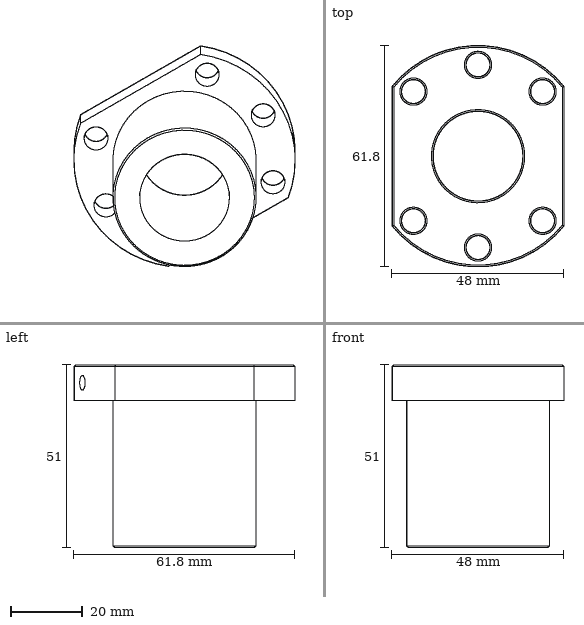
import cadquery as cq
import math

flange_diameter = 61.8
flange_width = 48.0
flange_thickness = 10.0

body_diameter = 40.0
overall_height = 51.0
bore_diameter = 25.0

bolt_circle_diameter = 51.0
bolt_hole_diameter = 6.6
bolt_hole_spacing = 45
rounded_side_directions = (90, 270)

oil_hole_diameter = 4.0
oil_hole_depth = 12.35
oil_hole_direction = 90 + bolt_hole_spacing / 2

chamfer_size = 0.5


def make_flange():
    """Round flange cut to width by the flats, chamfered around its top face."""
    disc = cq.Workplane("XY").circle(flange_diameter / 2).extrude(-flange_thickness)
    width_limit = cq.Workplane("XY").rect(flange_width, flange_diameter).extrude(-flange_thickness)
    return disc.intersect(width_limit).faces(">Z").edges().chamfer(chamfer_size)


def make_body():
    """Cylinder running the full height, chamfered at its lower end."""
    body = cq.Workplane("XY").circle(body_diameter / 2).extrude(-overall_height)
    return body.faces("<Z").edges().chamfer(chamfer_size)


def bolt_hole_centers():
    """XY positions of the mounting holes on the bolt circle."""
    radius = bolt_circle_diameter / 2
    centers = []
    for side in rounded_side_directions:
        for step in (-1, 0, 1):
            angle = math.radians(side + step * bolt_hole_spacing)
            centers.append((radius * math.cos(angle), radius * math.sin(angle)))
    return centers


def make_hole(diameter, depth):
    """Cutter for a vertical hole from the top face, with a chamfered mouth."""
    radius = diameter / 2
    profile = [
        (0, 0),
        (radius + chamfer_size, 0),
        (radius, -chamfer_size),
        (radius, -depth),
        (0, -depth),
    ]
    return cq.Workplane("XZ").polyline(profile).close().revolve(360, (0, 0), (0, 1))


def make_oil_hole():
    """Cutter for the radial oil hole at mid thickness of the flange."""
    angle = math.radians(oil_hole_direction)
    outward = cq.Vector(math.cos(angle), math.sin(angle), 0)
    bottom_radius = flange_diameter / 2 - oil_hole_depth
    bottom_center = outward * bottom_radius + cq.Vector(0, 0, -flange_thickness / 2)
    bottom_plane = cq.Plane(origin=bottom_center, xDir=(0, 0, 1), normal=outward)
    cutter_length = oil_hole_depth + oil_hole_diameter
    return cq.Workplane(bottom_plane).circle(oil_hole_diameter / 2).extrude(cutter_length)


result = make_flange().union(make_body())
result = result.cut(make_hole(bore_diameter, overall_height))

bolt_hole = make_hole(bolt_hole_diameter, flange_thickness)
for x, y in bolt_hole_centers():
    result = result.cut(bolt_hole.translate((x, y, 0)))

result = result.cut(make_oil_hole())